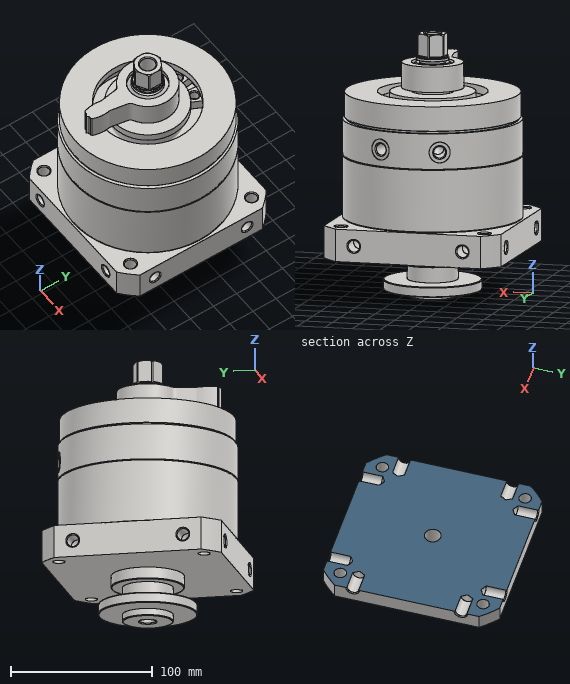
import cadquery as cq
import math

FLANGE_BOTTOM = 5.1
FLANGE_TOP = 12.5
BOSS_BOTTOM = 24.7
PLATE_BOTTOM = 33.2
PLATE_TOP = 56.6
SEAM_Z = 102.0
DRUM_TOP = 127.8
CAP_BOTTOM = 129.3
CAP_TOP = 147.0
LEVER_BOTTOM = 150.0
LEVER_TOP = 168.2
CONE_BASE = 165.0
RING_BOTTOM = 170.0
RING_TOP = 171.6
COLLAR_BOTTOM = 172.2
HEX_BOTTOM = 173.1
SHAFT_TOP = 188.8

PLATE_SIDE = 130.0
PLATE_CORNER_DIAMETER = 168.0
PLATE_HOLE_DIAMETER = 8.5
PLATE_HOLE_SPACING = 105.2
SIDE_HOLE_DIAMETER = 8.5
SIDE_HOLE_OFFSET = 39.8
SIDE_HOLE_DEPTH = 15.1
SIDE_HOLE_Z = (PLATE_BOTTOM + PLATE_TOP) / 2
HOLE_CHAMFER = 0.8
CHAMFER_CONE_ANGLE = 90
DRILL_TIP_ANGLE = 118

DRUM_DIAMETER = 127.6
DRUM_NECK_DIAMETER = 122.3
CAP_DIAMETER = 125.0
SEAM_DEPTH = 1.0
SEAM_WIDTH = 0.5
BOSS_DIAMETER = 52.0
EDGE_CHAMFER = 0.5

PORT_DIAMETER = 8.3
PORT_FACE_DIAMETER = 15.0
PORT_FACE_DISTANCE = 63.2
PORT_DEPTH = 15.1
PORT_Z = 114.5
PORT_ANGLE = 20.0

SLOT_INNER_DIAMETER = 61.0
SLOT_OUTER_DIAMETER = 78.2
UNDERCUT_INNER_DIAMETER = 53.0
UNDERCUT_OUTER_DIAMETER = 89.1
SLOT_LIP = 5.9
SLOT_DEPTH = 17.5
SLOT_FLOOR = CAP_TOP - SLOT_DEPTH
SLOT_FLOOR_FILLET = 1.0
BLOCK_HEIGHT = 7.5
LIP_BOTTOM = CAP_TOP - SLOT_LIP
BLOCK_TOP = LIP_BOTTOM
BLOCK_BOTTOM = BLOCK_TOP - BLOCK_HEIGHT
BLOCK_SPAN = 20.2
BLOCK_ANGLE = 16.8
BLOCK_HOLE_DIAMETER = 6.6
BLOCK_HOLE_RADIUS = (SLOT_INNER_DIAMETER + SLOT_OUTER_DIAMETER) / 4

BORE_DIAMETER = 11.5
SHAFT_DIAMETER = 36.0
FLANGE_DIAMETER = 70.2
LEVER_SEAT_DIAMETER = 30.0
CONE_RISE = 3.0
CONE_TOP_DIAMETER = LEVER_SEAT_DIAMETER - 2 * CONE_RISE
NECK_DIAMETER = 19.0
RING_DIAMETER = 23.0
COLLAR_DIAMETER = 21.5
HEX_ACROSS_FLATS = 19.0
HEX_SIDES = 6
HEX_CHAMFER = 1.0

HUB_DIAMETER = 44.2
HUB_FILLET = 5.1
ARM_ROOT_HALF_WIDTH = 9.0
ARM_ROOT_Y = -14.2
ARM_WAIST_HALF_WIDTH = 5.5
ARM_WAIST_Y = -36.8
ARM_BULGE_HALF_WIDTH = 6.0
ARM_BULGE_Y = -42.1
ARM_END_HALF_WIDTH = 4.3
ARM_END_Y = -51.4
TIP_HALF_WIDTH = 3.2
TIP_Y = -52.0
POINTER_HALF_WIDTH = 1.5
POINTER_Y = -53.5


def disc(diameter, bottom, top):
    """A cylinder on the rotary axis."""
    return cq.Workplane("XY").workplane(offset=bottom).circle(diameter / 2).extrude(top - bottom)


def ring(outer_diameter, inner_diameter, bottom, top):
    """A hollow cylinder on the rotary axis."""
    return disc(outer_diameter, bottom, top).cut(disc(inner_diameter, bottom, top))


def cone(start, direction, start_radius, end_radius, height):
    """A cone or cone stump that rises from its start point along a direction."""
    return cq.Workplane(obj=cq.Solid.makeCone(start_radius, end_radius, height, start, direction))


def chamfered_drill(start, direction, diameter, depth):
    """Cutter for a blind hole with a chamfered mouth and a conical bottom."""
    radius = diameter / 2
    tip_height = radius / math.tan(math.radians(DRILL_TIP_ANGLE / 2))
    barrel = cq.Workplane(obj=cq.Solid.makeCylinder(radius, depth, start, direction))
    tip = cone(start + direction * depth, direction, radius, 0, tip_height)
    mouth = cone(start, direction, radius + HOLE_CHAMFER, radius, HOLE_CHAMFER)
    return barrel.union(tip).union(mouth)


def make_plate():
    """Square plate with turned corners, four through holes and two blind holes in each side."""
    thickness = PLATE_TOP - PLATE_BOTTOM
    plate = cq.Workplane("XY").workplane(offset=PLATE_BOTTOM)
    plate = plate.rect(PLATE_SIDE, PLATE_SIDE).extrude(thickness)
    plate = plate.intersect(disc(PLATE_CORNER_DIAMETER, PLATE_BOTTOM, PLATE_TOP))
    plate = (
        plate.faces(">Z").workplane(origin=(0, 0, PLATE_TOP))
        .rect(PLATE_HOLE_SPACING, PLATE_HOLE_SPACING, forConstruction=True).vertices()
        .cskHole(PLATE_HOLE_DIAMETER, PLATE_HOLE_DIAMETER + 2 * HOLE_CHAMFER, CHAMFER_CONE_ANGLE)
    )
    for side in range(4):
        for offset in (-SIDE_HOLE_OFFSET, SIDE_HOLE_OFFSET):
            mouth = cq.Vector(offset, -PLATE_SIDE / 2, SIDE_HOLE_Z)
            drill = chamfered_drill(mouth, cq.Vector(0, 1, 0), SIDE_HOLE_DIAMETER, SIDE_HOLE_DEPTH)
            plate = plate.cut(drill.rotate((0, 0, 0), (0, 0, 1), 90 * side))
    return plate


def make_drum():
    """Drum with its seams, its neck and its two ports on spot-faced flats."""
    drum = disc(DRUM_DIAMETER, PLATE_TOP, DRUM_TOP)
    seam_diameter = DRUM_DIAMETER - 2 * SEAM_DEPTH
    for bottom in (PLATE_TOP, SEAM_Z - SEAM_WIDTH / 2):
        drum = drum.cut(ring(DRUM_DIAMETER, seam_diameter, bottom, bottom + SEAM_WIDTH))
    for angle in (90 - PORT_ANGLE, 90 + PORT_ANGLE):
        outward = cq.Vector(math.cos(math.radians(angle)), math.sin(math.radians(angle)), 0)
        face_centre = outward * PORT_FACE_DISTANCE + cq.Vector(0, 0, PORT_Z)
        spot_face = cq.Solid.makeCylinder(PORT_FACE_DIAMETER / 2, DRUM_DIAMETER, face_centre, outward)
        drum = drum.cut(cq.Workplane(obj=spot_face))
        drum = drum.cut(chamfered_drill(face_centre, outward * -1, PORT_DIAMETER, PORT_DEPTH))
    return drum.union(disc(DRUM_NECK_DIAMETER, DRUM_TOP, CAP_BOTTOM))


def make_cap():
    """Cap with the ring-shaped T-slot."""
    opening = ring(SLOT_OUTER_DIAMETER, SLOT_INNER_DIAMETER, LIP_BOTTOM, CAP_TOP)
    undercut = ring(UNDERCUT_OUTER_DIAMETER, UNDERCUT_INNER_DIAMETER, SLOT_FLOOR, LIP_BOTTOM)
    undercut = undercut.faces("<Z").edges(cq.selectors.RadiusNthSelector(0)).fillet(SLOT_FLOOR_FILLET)
    return disc(CAP_DIAMETER, CAP_BOTTOM, CAP_TOP).cut(opening).cut(undercut)


def make_lower_shaft():
    """Boss under the plate and the flanged shaft end."""
    boss = disc(BOSS_DIAMETER, BOSS_BOTTOM, PLATE_BOTTOM).faces("<Z").chamfer(EDGE_CHAMFER)
    shaft = disc(SHAFT_DIAMETER, 0, BOSS_BOTTOM).faces("<Z").chamfer(EDGE_CHAMFER)
    flange = disc(FLANGE_DIAMETER, FLANGE_BOTTOM, FLANGE_TOP).edges().chamfer(EDGE_CHAMFER)
    return boss.union(shaft).union(flange)


def make_upper_shaft():
    """Lever seat, conical shoulder, neck, ring, collar and hexagon end."""
    seat = disc(LEVER_SEAT_DIAMETER, CAP_TOP, CONE_BASE)
    shoulder = cone(cq.Vector(0, 0, CONE_BASE), cq.Vector(0, 0, 1),
                    LEVER_SEAT_DIAMETER / 2, CONE_TOP_DIAMETER / 2, CONE_RISE)
    neck = disc(NECK_DIAMETER, CONE_BASE, COLLAR_BOTTOM)
    snap_ring = disc(RING_DIAMETER, RING_BOTTOM, RING_TOP)
    collar = disc(COLLAR_DIAMETER, COLLAR_BOTTOM, HEX_BOTTOM)
    hexagon = (
        cq.Workplane("XY").workplane(offset=HEX_BOTTOM)
        .polygon(HEX_SIDES, HEX_ACROSS_FLATS, circumscribed=True).extrude(SHAFT_TOP - HEX_BOTTOM)
    )
    turned_blank = disc(COLLAR_DIAMETER, HEX_BOTTOM, SHAFT_TOP).faces(">Z").chamfer(HEX_CHAMFER)
    hexagon = hexagon.intersect(turned_blank)
    return seat.union(shoulder).union(neck).union(snap_ring).union(collar).union(hexagon)


def make_actuator():
    """Housing and shaft in one piece, bored through along the rotary axis."""
    body = make_plate().union(make_drum()).union(make_cap())
    body = body.union(make_lower_shaft()).union(make_upper_shaft())
    body = body.cut(disc(BORE_DIAMETER, 0, SHAFT_TOP))
    bore_radius = BORE_DIAMETER / 2
    for end_z, inward in ((0, 1), (SHAFT_TOP, -1)):
        mouth = cone(cq.Vector(0, 0, end_z), cq.Vector(0, 0, inward),
                     bore_radius + HOLE_CHAMFER, bore_radius, HOLE_CHAMFER)
        body = body.cut(mouth)
    return body


def make_lever():
    """Round hub with an arm that ends in a pointer, bored to fit the lever seat."""
    height = LEVER_TOP - LEVER_BOTTOM
    hub = disc(HUB_DIAMETER, LEVER_BOTTOM, LEVER_TOP)
    arm = (
        cq.Workplane("XY").workplane(offset=LEVER_BOTTOM)
        .moveTo(-ARM_ROOT_HALF_WIDTH, ARM_ROOT_Y)
        .lineTo(-ARM_WAIST_HALF_WIDTH, ARM_WAIST_Y)
        .threePointArc((-ARM_BULGE_HALF_WIDTH, ARM_BULGE_Y), (-ARM_END_HALF_WIDTH, ARM_END_Y))
        .lineTo(-TIP_HALF_WIDTH, TIP_Y)
        .lineTo(-POINTER_HALF_WIDTH, TIP_Y)
        .lineTo(0, POINTER_Y)
        .lineTo(POINTER_HALF_WIDTH, TIP_Y)
        .lineTo(TIP_HALF_WIDTH, TIP_Y)
        .lineTo(ARM_END_HALF_WIDTH, ARM_END_Y)
        .threePointArc((ARM_BULGE_HALF_WIDTH, ARM_BULGE_Y), (ARM_WAIST_HALF_WIDTH, ARM_WAIST_Y))
        .lineTo(ARM_ROOT_HALF_WIDTH, ARM_ROOT_Y)
        .close().extrude(height)
    )
    arm_corners = cq.selectors.BoxSelector(
        (-HUB_DIAMETER / 2, -HUB_DIAMETER / 2, LEVER_BOTTOM), (HUB_DIAMETER / 2, ARM_ROOT_Y, LEVER_TOP))
    lever = hub.union(arm).edges("|Z").edges(arm_corners).fillet(HUB_FILLET)
    return lever.cut(disc(LEVER_SEAT_DIAMETER, LEVER_BOTTOM, LEVER_TOP))


def make_stop_block(angle):
    """Sector of the T-slot's wide part with a chamfered screw hole, centred at an angle from +Y."""
    reach = UNDERCUT_OUTER_DIAMETER
    half_width = reach * math.tan(math.radians(BLOCK_SPAN / 2))
    wedge = (
        cq.Workplane("XY").workplane(offset=BLOCK_BOTTOM)
        .polyline([(0, 0), (half_width, reach), (-half_width, reach)]).close().extrude(BLOCK_HEIGHT)
    )
    block = ring(UNDERCUT_OUTER_DIAMETER, UNDERCUT_INNER_DIAMETER, BLOCK_BOTTOM, BLOCK_TOP).intersect(wedge)
    block = (
        block.faces(">Z").workplane(origin=(0, BLOCK_HOLE_RADIUS, BLOCK_TOP))
        .cskHole(BLOCK_HOLE_DIAMETER, BLOCK_HOLE_DIAMETER + 2 * HOLE_CHAMFER, CHAMFER_CONE_ANGLE)
    )
    return block.rotate((0, 0, 0), (0, 0, 1), angle)


actuator = make_actuator()
lever = make_lever()
stop_blocks = [make_stop_block(angle) for angle in (-BLOCK_ANGLE, BLOCK_ANGLE)]

result = cq.Compound.makeCompound([actuator.val(), lever.val(), *[block.val() for block in stop_blocks]])